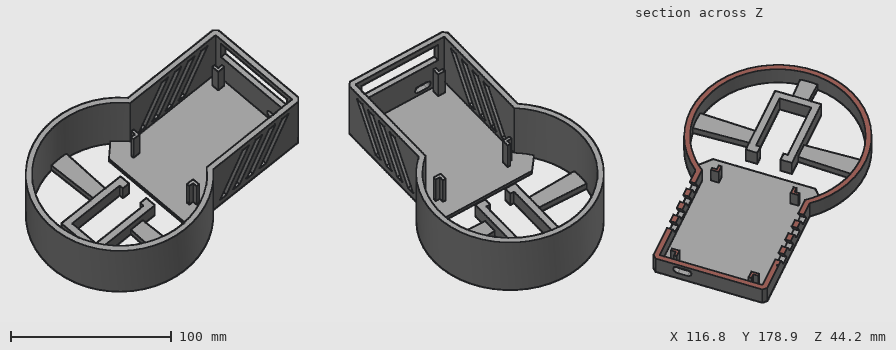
import cadquery as cq
import math

total_length = 178.9
height = 44.2
ring_diameter = 116.8
ring_radius = ring_diameter / 2
wall = 4.0
inner_radius = ring_radius - wall
bay_width = 76.0
bay_half_width = bay_width / 2
bay_inner_half_width = bay_half_width - wall
bay_end = total_length - ring_radius
bay_inner_end = bay_end - wall
corner_chamfer = 2.5

floor_thickness = 2.7
floor_front = 23.8
floor_half_width = bay_inner_half_width + wall / 2
floor_rear = bay_inner_end + wall / 2
floor_flare_x = 44.7
floor_flare_y = 35.8
floor_shoulder_y = 44.7

post_height = 20.0
post_leg = 5.4
post_thickness = 2.1
post_corner_x = 23.8
post_rear_y = 108.8
post_front_y = 40.6

vent_count = 4
vent_pitch = 11.5
vent_width = 5.5
vent_bottom = 5.4
vent_top = 39.4
vent_first_y = 109.7
vent_angle = 30
vent_slant = (vent_top - vent_bottom) * math.tan(math.radians(vent_angle))

window_half_width = 29.3
window_bottom = 25.4
window_top = 39.5
slot_length = 12.0
slot_height = 5.5
slot_x = 17.7
slot_z = 7.9

clamp_height = 10.7
clamp_half_width = 15.4
clamp_wall = 4.8
clamp_rear = 15.7
clamp_front = -35.6
clamp_mouth_half_width = 7.7
lip_length = 5.4
spoke_height = 5.0
spoke_inner_half_width = 5.2
spoke_taper = 0.034


def box(x0, x1, y0, y1, z0, z1):
    """Box between two opposite corners."""
    return cq.Workplane("XY").box(x1 - x0, y1 - y0, z1 - z0, centered=False).translate((x0, y0, z0))


def cylinder(radius):
    return cq.Workplane("XY").circle(radius).extrude(height)


def make_shell():
    outer_bay = box(-bay_half_width, bay_half_width, 0, bay_end, 0, height)
    outer_bay = outer_bay.edges("|Z and >Y").chamfer(corner_chamfer)
    inner_bay = box(-bay_inner_half_width, bay_inner_half_width, 0, bay_inner_end, 0, height)
    return cylinder(ring_radius).union(outer_bay).cut(cylinder(inner_radius)).cut(inner_bay)


def make_floor():
    """Plate under the bay whose flared front corners end inside the ring wall."""
    right_side = [
        (bay_inner_half_width, floor_front),
        (floor_flare_x, floor_flare_y),
        (floor_half_width, floor_shoulder_y),
        (floor_half_width, floor_rear),
    ]
    left_side = [(-x, y) for x, y in reversed(right_side)]
    return cq.Workplane("XY").polyline(right_side + left_side).close().extrude(floor_thickness)


def make_post(x_side, y_side, corner_y):
    """L post whose legs run away from the bay centre."""
    post = (
        cq.Workplane("XY")
        .polyline([
            (0, 0),
            (x_side * post_leg, 0),
            (x_side * post_leg, y_side * post_thickness),
            (x_side * post_thickness, y_side * post_thickness),
            (x_side * post_thickness, y_side * post_leg),
            (0, y_side * post_leg),
        ])
        .close()
        .extrude(floor_thickness + post_height)
    )
    return post.translate((x_side * post_corner_x, corner_y, 0))


def make_vents():
    vents = cq.Workplane("YZ")
    for i in range(vent_count):
        y = vent_first_y - i * vent_pitch
        vents = (
            vents.moveTo(y, vent_top)
            .lineTo(y - vent_width, vent_top)
            .lineTo(y - vent_width - vent_slant, vent_bottom)
            .lineTo(y - vent_slant, vent_bottom)
            .close()
        )
    return vents.extrude(bay_half_width, both=True)


def make_end_openings():
    window = box(-window_half_width, window_half_width, bay_inner_end, bay_end, window_bottom, window_top)
    slot = (
        cq.Workplane("XZ", origin=(slot_x, bay_end, slot_z))
        .slot2D(slot_length, slot_height)
        .extrude(wall)
    )
    return window.union(slot)


def make_clamp():
    body = box(-clamp_half_width, clamp_half_width, clamp_front, clamp_rear, 0, clamp_height)
    channel_half_width = clamp_half_width - clamp_wall
    channel = box(
        -channel_half_width, channel_half_width,
        clamp_front + clamp_wall, clamp_rear - lip_length,
        0, clamp_height,
    )
    mouth = box(-clamp_mouth_half_width, clamp_mouth_half_width, 0, clamp_rear, 0, clamp_height)
    return body.cut(channel).cut(mouth)


def make_spoke(start, angle):
    """Spoke along +X from the clamp into the ring wall, turned about Z."""
    end = inner_radius + wall / 2
    end_half_width = spoke_inner_half_width + spoke_taper * (end - start)
    spoke = (
        cq.Workplane("XY")
        .moveTo(start, -spoke_inner_half_width)
        .lineTo(end, -end_half_width)
        .lineTo(end, end_half_width)
        .lineTo(start, spoke_inner_half_width)
        .close()
        .extrude(spoke_height)
    )
    return spoke.rotate((0, 0, 0), (0, 0, 1), angle)


result = make_shell().cut(make_vents()).cut(make_end_openings()).union(make_floor())
for side in (-1, 1):
    result = result.union(make_post(side, 1, post_rear_y))
    result = result.union(make_post(side, -1, post_front_y))
result = result.union(make_clamp())
for start, angle in ((clamp_half_width, 0), (clamp_half_width, 180), (-clamp_front, 270)):
    result = result.union(make_spoke(start, angle))